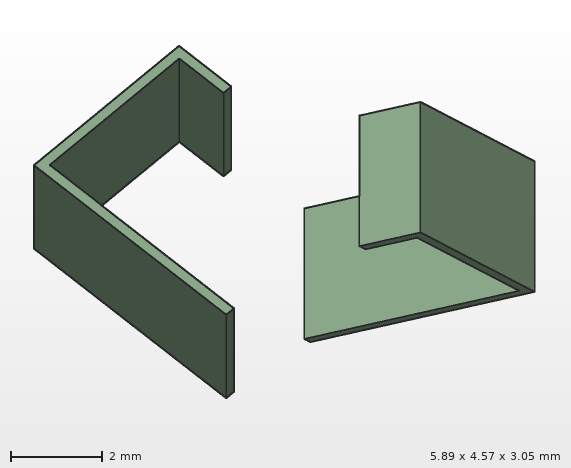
import cadquery as cq

long_flange = 5.89
web_length = 4.57
height = 3.05
short_flange = 1.6
wall = 0.25

profile = [
    (0, 0),
    (long_flange, 0),
    (long_flange, wall),
    (wall, wall),
    (wall, web_length - wall),
    (short_flange, web_length - wall),
    (short_flange, web_length),
    (0, web_length),
]

result = cq.Workplane("XY").polyline(profile).close().extrude(height)